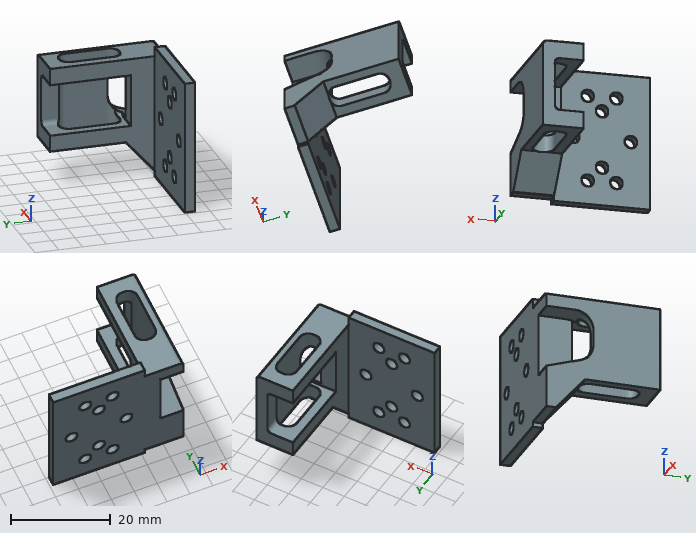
import cadquery as cq
import math

length = 28.5
depth = 24.1
height = 28.0
plate_length = 20.0
plate_thickness = 2.17

arm_bottom = 1.0
arm_top = 26.0
arm_rear_bottom = 8.0
slope_foot_z = 1.15
slope_end_y = 8.2
edge_radius = 1.0

pocket_front_y = 7.15
pocket_bottom = 11.49
pocket_top = 22.45
pocket_floor_x = 25.95
pocket_radius = 1.0

slot_x = 24.42
slot_y = 14.5
slot_width = 4.45
slot_length = 12.7
slot_radius = 1.95

opening_x = 23.45
opening_bottom = 9.83
opening_top = 22.95
opening_rear_y = 9.95
opening_radius = 4.0
lower_arc_z = 15.93

hole_diameter = 2.55
hole_pitch = 3.0
near_offset = 2 * hole_pitch
far_offset = 3 * hole_pitch


def box(x_range, y_range, z_range):
    """Return a box spanning the given coordinate ranges."""
    spans = [end - start for start, end in (x_range, y_range, z_range)]
    return cq.Workplane("XY").box(*spans, centered=False).translate((x_range[0], y_range[0], z_range[0]))


def make_plate():
    plate = box((0, plate_length), (0, plate_thickness), (0, height))
    diamond = [(near_offset, 0), (-near_offset, 0), (0, near_offset), (0, -near_offset)]
    corners = [(x, z) for x in (-hole_pitch, hole_pitch) for z in (-far_offset, far_offset)]
    holes = (
        cq.Workplane("XZ", origin=(plate_length / 2, 0, height / 2))
        .pushPoints(diamond + corners)
        .circle(hole_diameter / 2)
        .extrude(-plate_thickness)
    )
    return plate.cut(holes)


def make_arm():
    arm = (
        cq.Workplane("YZ", origin=(plate_length, 0, 0))
        .moveTo(0, arm_bottom)
        .lineTo(plate_thickness, arm_bottom)
        .lineTo(plate_thickness, slope_foot_z)
        .lineTo(slope_end_y, arm_rear_bottom)
        .lineTo(depth, arm_rear_bottom)
        .lineTo(depth, arm_top)
        .lineTo(0, arm_top)
        .close()
        .extrude(length - plate_length)
    )
    return arm.edges(">X and >Z").fillet(edge_radius)


def make_pocket():
    pocket = box((plate_length, pocket_floor_x), (pocket_front_y, depth), (pocket_bottom, pocket_top))
    return pocket.edges(">X and |Y").fillet(pocket_radius)


def make_slot():
    slot = cq.Workplane("XY").center(slot_x, slot_y).rect(slot_width, slot_length).extrude(height)
    return slot.edges("|Z").fillet(slot_radius)


def make_front_opening():
    """Cut profile with a sloping floor tangent to the lower rear arc."""
    arc_y = opening_rear_y - opening_radius
    upper_arc_z = opening_top - opening_radius
    rise = lower_arc_z - opening_bottom
    floor_angle = math.atan2(rise, arc_y) - math.asin(opening_radius / math.hypot(arc_y, rise))

    def arc_point(center_z, angle):
        return (arc_y + opening_radius * math.cos(angle), center_z + opening_radius * math.sin(angle))

    tangent_angle = floor_angle - math.pi / 2
    return (
        cq.Workplane("YZ", origin=(opening_x, 0, 0))
        .moveTo(0, opening_bottom)
        .lineTo(*arc_point(lower_arc_z, tangent_angle))
        .threePointArc(arc_point(lower_arc_z, tangent_angle / 2), (opening_rear_y, lower_arc_z))
        .lineTo(opening_rear_y, upper_arc_z)
        .threePointArc(arc_point(upper_arc_z, math.pi / 4), (arc_y, opening_top))
        .lineTo(0, opening_top)
        .close()
        .extrude(length - opening_x)
    )


arm = make_arm().cut(make_pocket()).cut(make_slot()).cut(make_front_opening())
result = make_plate().union(arm)